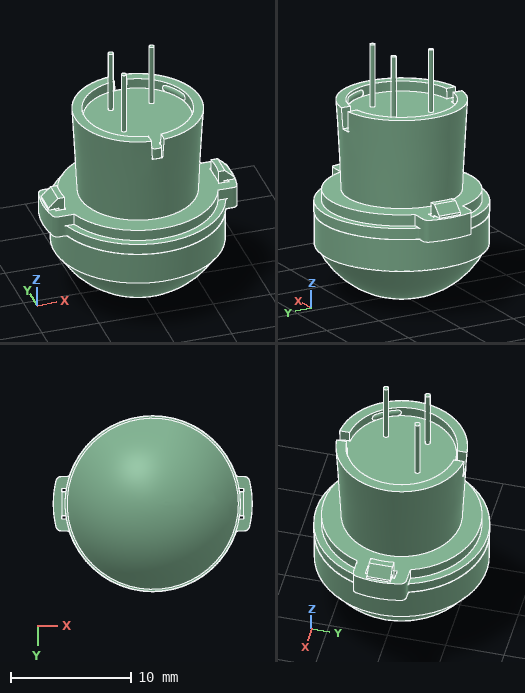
import cadquery as cq
import math

dome_height = 4.51
layer = 0.98
joint_z = 7.32
ring_top = joint_z + layer
flange_top = ring_top + layer
hook_top = flange_top + layer
tube_top = 17.18
slot_floor = 15.35
sensor_top = slot_floor + layer
pin_top = 21.8

lens_diameter = 14.6
dome_rim_radius = 7.13

tube_top_radius = 5.5
tube_base_radius = 5.05
bore_radius = 4.65
ring_diameter = 14.67
flange_radius = 6.7
ear_span = 16.6
ear_width = 4.55
ear_corner_radius = 0.5
ear_root_fillet = 0.2
ear_slope_x = 7.56
ear_slope_drop = 0.07
window_inner_x = 6.71
window_width = 2.5
slot_top_width = 1.11
slot_floor_width = 0.9
bead_radius = 0.33
bead_depth = 0.1
bead_lift = 0.26
bead_center_angle = 30.0
bead_sweep = 24.0

hook_width = 2.0
hook_inner_radius = 6.8
barb_tip_x = 8.13
barb_edge_x = 7.3
barb_tip_height = 0.2

sensor_radius = 4.55
tab_reach = 5.38
tab_width = 0.87
tab_corner_radius = 0.28
pin_diameter = 0.44
pin_offset = 1.79
pin_places = [(-1, 1), (1, 1), (-1, -1)]


def disc(radius, bottom, top):
    return cq.Workplane("XY").workplane(offset=bottom).circle(radius).extrude(top - bottom)


def block(length, width, bottom, top):
    return cq.Workplane("XY").workplane(offset=bottom).rect(length, width).extrude(top - bottom)


def make_hook():
    """Curved post on the rim with an outward barb, on the +X side."""
    post = disc(lens_diameter / 2, joint_z, hook_top)
    barb = (
        cq.Workplane("XZ")
        .moveTo(0, flange_top)
        .lineTo(barb_tip_x, flange_top)
        .lineTo(barb_tip_x, flange_top + barb_tip_height)
        .lineTo(barb_edge_x, hook_top)
        .lineTo(0, hook_top)
        .close()
        .extrude(hook_width / 2, both=True)
    )
    post_limit = block(2 * barb_edge_x, hook_width, joint_z, hook_top)
    right_half = block(barb_tip_x, hook_width, joint_z, hook_top).translate((barb_tip_x / 2, 0, 0))
    hook = post.intersect(post_limit).union(barb).intersect(right_half)
    return hook.cut(disc(hook_inner_radius, joint_z, hook_top))


def make_lens():
    """Solid domed lens with two snap hooks standing on its flat top."""
    dome_radius = (dome_rim_radius**2 + dome_height**2) / (2 * dome_height)
    half_angle = math.asin(dome_rim_radius / dome_radius) / 2
    arc_middle = (dome_radius * math.sin(half_angle), dome_radius * (1 - math.cos(half_angle)))
    profile = (
        cq.Workplane("XZ")
        .threePointArc(arc_middle, (dome_rim_radius, dome_height))
        .lineTo(lens_diameter / 2, dome_height)
        .lineTo(lens_diameter / 2, joint_z)
        .lineTo(0, joint_z)
        .close()
    )
    lens = profile.revolve(360, (0, 0, 0), (0, 1, 0))
    for angle in (0, 180):
        lens = lens.union(make_hook().rotate((0, 0, 0), (0, 0, 1), angle))
    return lens


def make_ears(bottom, top):
    """Strip across the housing with arc ends and rounded corners."""
    strip = block(ear_span, ear_width, bottom, top).intersect(disc(ear_span / 2, bottom, top))
    corners = strip.edges("|Z").filter(lambda edge: abs(edge.Center().y) > ear_width / 4)
    return corners.fillet(ear_corner_radius)


def make_ring():
    """Bottom layer: ring and ears, blended where they meet."""
    ring = disc(ring_diameter / 2, joint_z, ring_top).union(make_ears(joint_z, ring_top))
    roots = ring.edges("|Z").filter(
        lambda edge: abs(edge.Center().x) < ring_diameter / 2 and abs(edge.Center().y) < ear_width
    )
    return roots.fillet(ear_root_fillet)


def make_ear_trim():
    """Wedge that slopes the top of the +X ear end down, clear of the hook barb."""
    return (
        cq.Workplane("XZ")
        .moveTo(ear_slope_x, flange_top)
        .lineTo(ear_span / 2, flange_top - ear_slope_drop)
        .lineTo(ear_span / 2, flange_top)
        .close()
        .extrude(ear_width, both=True)
    )


def make_flange():
    """Layer above the ring: smaller flange and the upper part of the ears."""
    flange = disc(flange_radius, ring_top, flange_top).union(make_ears(ring_top, flange_top))
    for angle in (0, 180):
        flange = flange.cut(make_ear_trim().rotate((0, 0, 0), (0, 0, 1), angle))
    return flange


def make_tube():
    """Tube that widens towards its open end."""
    tube = cq.Workplane("XY").workplane(offset=flange_top).circle(tube_base_radius)
    return tube.workplane(offset=tube_top - flange_top).circle(tube_top_radius).loft()


def make_slots():
    """Tapered slot cutter that crosses the tube wall on both Y sides."""
    return (
        cq.Workplane("XZ")
        .moveTo(-slot_floor_width / 2, slot_floor)
        .lineTo(slot_floor_width / 2, slot_floor)
        .lineTo(slot_top_width / 2, tube_top)
        .lineTo(-slot_top_width / 2, tube_top)
        .close()
        .extrude(2 * tube_top_radius, both=True)
    )


def make_bead():
    """Round-ended snap bead on the bore wall, just above the sensor's rim."""
    bead_z = sensor_top + bead_lift
    path_radius = bore_radius + bead_depth
    bead = (
        cq.Workplane("XZ")
        .center(path_radius, bead_z)
        .circle(bead_radius)
        .revolve(bead_sweep, (-path_radius, 0, 0), (-path_radius, 1, 0))
        .rotate((0, 0, 0), (0, 0, 1), -bead_sweep / 2)
    )
    for end_angle in (-bead_sweep / 2, bead_sweep / 2):
        turn = 0 if end_angle > 0 else 180
        half_ball = (
            cq.Workplane("XY")
            .sphere(bead_radius, angle3=180)
            .rotate((0, 0, 0), (0, 0, 1), turn)
            .translate((path_radius, 0, bead_z))
        )
        bead = bead.union(half_ball.rotate((0, 0, 0), (0, 0, 1), end_angle))
    return bead.rotate((0, 0, 0), (0, 0, 1), bead_center_angle)


def make_housing():
    housing = make_ring().union(make_flange()).union(make_tube())
    housing = housing.cut(disc(bore_radius, slot_floor, tube_top)).cut(make_slots())
    window_length = ear_slope_x - window_inner_x
    window_center = (ear_slope_x + window_inner_x) / 2
    for side in (-1, 1):
        window = block(window_length, window_width, joint_z, flange_top)
        housing = housing.cut(window.translate((side * window_center, 0, 0)))
    for angle in (0, 180):
        housing = housing.union(make_bead().rotate((0, 0, 0), (0, 0, 1), angle))
    return housing


def make_sensor():
    """Sensor base: a disc with one rounded tab that sits in the -Y slot."""
    tab = (
        block(tab_width, tab_reach, slot_floor, sensor_top)
        .translate((0, -tab_reach / 2, 0))
        .edges("|Z and <Y")
        .fillet(tab_corner_radius)
    )
    return disc(sensor_radius, slot_floor, sensor_top).union(tab)


def make_pin(x_sign, y_sign):
    pin = disc(pin_diameter / 2, sensor_top, pin_top)
    return pin.translate((x_sign * pin_offset, y_sign * pin_offset, 0))


lens = make_lens()
housing = make_housing()
sensor = make_sensor()
pins = [make_pin(x_sign, y_sign) for x_sign, y_sign in pin_places]

result = cq.Compound.makeCompound(
    [body.solids().val() for body in (lens, housing, sensor, *pins)]
)